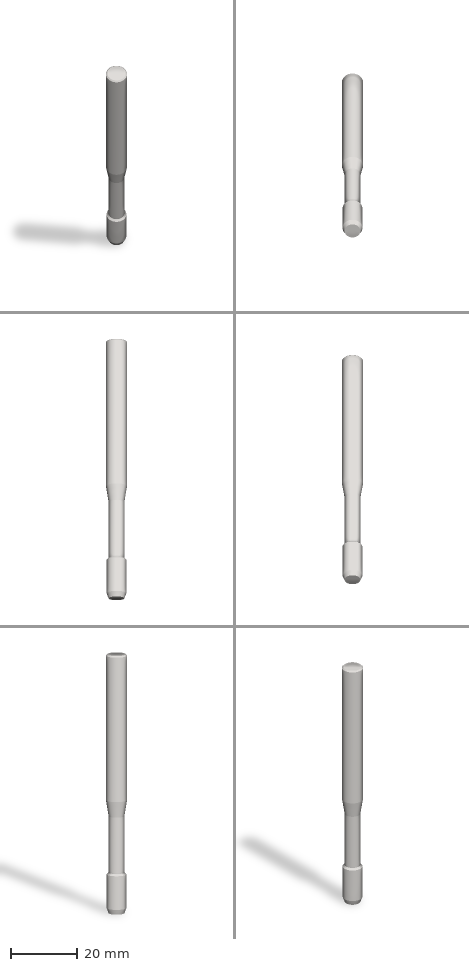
import cadquery as cq

TOTAL_LENGTH = 80.0
TIP_TAPER_LENGTH = 1.6
HEAD_LENGTH = 12.6
HEAD_SHOULDER_HEIGHT = 0.6
NECK_TOP = 30.0
TRANSITION_LENGTH = 5.0

SHANK_DIAMETER = 6.4
NECK_DIAMETER = 4.8
HEAD_DIAMETER = 6.0
TIP_DIAMETER = NECK_DIAMETER

END_CHAMFER = 0.4


def turned_body(profile):
    """Revolve (radius, height) points, listed upward, around the Z axis."""
    bottom = profile[0][1]
    top = profile[-1][1]
    outline = [(0, bottom), *profile, (0, top)]
    return cq.Workplane("XZ").polyline(outline).close().revolve(360, (0, 0), (0, 1))


def make_head():
    """Cylindrical head with a tapered tip and a conical shoulder up to the neck."""
    head_radius = HEAD_DIAMETER / 2
    return turned_body([
        (TIP_DIAMETER / 2, 0),
        (head_radius, TIP_TAPER_LENGTH),
        (head_radius, HEAD_LENGTH - HEAD_SHOULDER_HEIGHT),
        (NECK_DIAMETER / 2, HEAD_LENGTH),
    ])


def make_shank():
    """Slim neck resting on the head, widening through a cone into the shank."""
    neck_radius = NECK_DIAMETER / 2
    shank_radius = SHANK_DIAMETER / 2
    return turned_body([
        (neck_radius, HEAD_LENGTH),
        (neck_radius, NECK_TOP),
        (shank_radius, NECK_TOP + TRANSITION_LENGTH),
        (shank_radius, TOTAL_LENGTH - END_CHAMFER),
        (shank_radius - END_CHAMFER, TOTAL_LENGTH),
    ])


head = make_head()
shank = make_shank()

result = cq.Compound.makeCompound([head.val(), shank.val()])